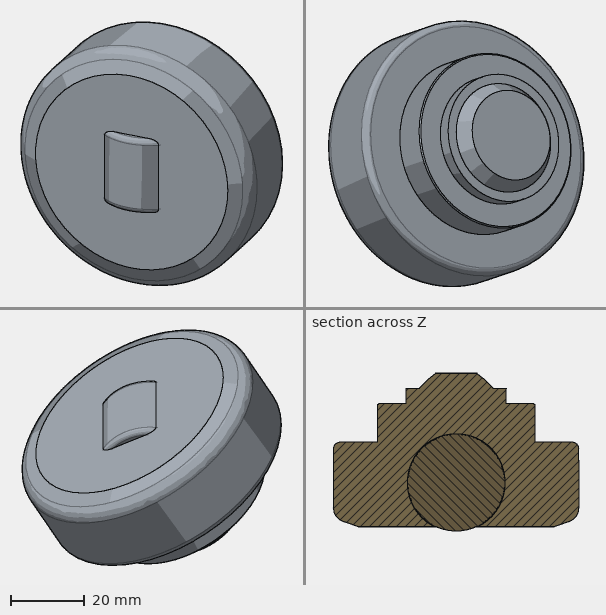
import cadquery as cq
import math

wheel_radius = 35.05
wheel_width = 23.0
front_face_radius = 28.7
front_cone_angle = 20.0
front_fillet = 3.9
back_fillet = 1.8

hub_radius = 48.0 / 2
hub_end = 33.45
hub_chamfer = 0.35
collar_radius = 35.0 / 2
collar_end = 37.5
nose_base_radius = 14.9
nose_tip_radius = 12.35
nose_end = 41.6

roller_radius = 28.8 / 2
roller_length = 22.0
roller_fillet = 1.5
roller_protrusion = 2.45


def make_wheel():
    """Disc with a conical front rim and rounded front and back edges."""
    cone_depth = (wheel_radius - front_face_radius) * math.tan(math.radians(front_cone_angle))
    half_profile = (
        cq.Workplane("XY")
        .moveTo(0, 0)
        .lineTo(front_face_radius, 0)
        .lineTo(wheel_radius, cone_depth)
        .lineTo(wheel_radius, wheel_width)
        .lineTo(0, wheel_width)
        .close()
    )
    disc = half_profile.revolve(360, (0, 0, 0), (0, 1, 0))
    disc = disc.faces(">Y").edges().fillet(back_fillet)
    cone_edge = cq.selectors.NearestToPointSelector((0, cone_depth, 0))
    return disc.edges(cone_edge).fillet(front_fillet)


def make_hub():
    """Hub, collar and tapered nose, stacked along Y behind the wheel."""
    half_profile = (
        cq.Workplane("XY")
        .moveTo(0, wheel_width)
        .lineTo(hub_radius, wheel_width)
        .lineTo(hub_radius, hub_end - hub_chamfer)
        .lineTo(hub_radius - hub_chamfer, hub_end)
        .lineTo(collar_radius, hub_end)
        .lineTo(collar_radius, collar_end)
        .lineTo(nose_base_radius, collar_end)
        .lineTo(nose_tip_radius, nose_end)
        .lineTo(0, nose_end)
        .close()
    )
    return half_profile.revolve(360, (0, 0, 0), (0, 1, 0))


def make_roller():
    """Cylinder with rounded ends, centred on Z = 0."""
    axis_y = roller_radius - roller_protrusion
    return (
        cq.Workplane("XY", origin=(0, axis_y, -roller_length / 2))
        .circle(roller_radius)
        .extrude(roller_length)
        .faces("<Z or >Z")
        .edges()
        .fillet(roller_fillet)
    )


roller = make_roller()

wheel_body = make_wheel().union(make_hub()).cut(roller)

result = cq.Compound.makeCompound([wheel_body.val(), roller.val()])